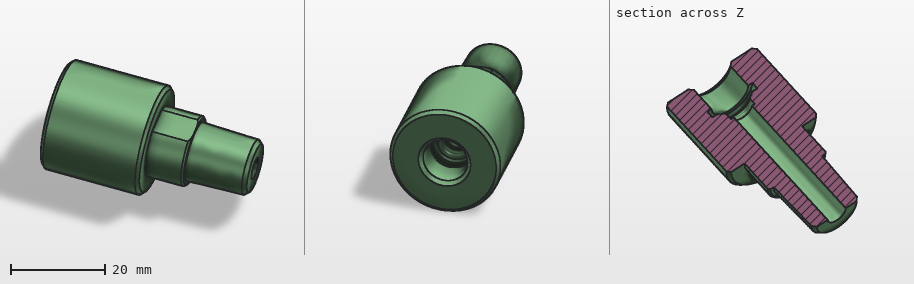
import cadquery as cq

total_length = 44.25
body_end = 22.2
collar_end = 30.72

body_diameter = 24.13
body_chamfer = 0.76

collar_diameter = 15.55
collar_chamfer = 0.46
across_flats = 14.29

spigot_base_diameter = 13.03
spigot_taper = 1 / 16
spigot_chamfer_length = 0.92
spigot_chamfer_depth = 0.8

socket_diameter = 9.73
mouth_chamfer = 0.85
groove_diameter = 11.94
groove_start = 7.05
groove_end = 8.7
seat_diameter = 9.2
seat_cone_depth = 0.54
rounded_edge_radius = 0.93
pocket_diameter = 6.26
pocket_end = 11.5
through_diameter = 4.76


def make_outside():
    """Body, collar and tapered spigot as one turned shape."""
    body_radius = body_diameter / 2
    collar_radius = collar_diameter / 2
    spigot_base_radius = spigot_base_diameter / 2
    spigot_taper_end = total_length - spigot_chamfer_length
    spigot_tip_radius = spigot_base_radius - spigot_taper * (spigot_taper_end - collar_end) / 2
    return (
        cq.Workplane("XY")
        .lineTo(0, body_radius - body_chamfer)
        .lineTo(body_chamfer, body_radius)
        .lineTo(body_end - body_chamfer, body_radius)
        .lineTo(body_end, body_radius - body_chamfer)
        .lineTo(body_end, collar_radius)
        .lineTo(collar_end - collar_chamfer, collar_radius)
        .lineTo(collar_end, collar_radius - collar_chamfer)
        .lineTo(collar_end, spigot_base_radius)
        .lineTo(spigot_taper_end, spigot_tip_radius)
        .lineTo(total_length, spigot_tip_radius - spigot_chamfer_depth)
        .lineTo(total_length, 0)
        .close()
        .revolve(360, (0, 0, 0), (1, 0, 0))
    )


def make_flat_cutter(side):
    """Block that trims one wrench flat; side is +1 for +Z and -1 for -Z."""
    collar_length = collar_end - body_end
    flat_depth = (collar_diameter - across_flats) / 2
    centre_x = (body_end + collar_end) / 2
    centre_z = side * (across_flats + flat_depth) / 2
    return (
        cq.Workplane("XY")
        .box(collar_length, collar_diameter, flat_depth)
        .translate((centre_x, 0, centre_z))
    )


def make_bore():
    """Chamfered socket, groove, seat, rounded pocket and through hole."""
    socket_radius = socket_diameter / 2
    groove_radius = groove_diameter / 2
    seat_radius = seat_diameter / 2
    pocket_radius = pocket_diameter / 2
    through_radius = through_diameter / 2
    seat_cone_end = groove_end + seat_cone_depth
    return (
        cq.Workplane("XY")
        .lineTo(0, socket_radius + mouth_chamfer)
        .lineTo(mouth_chamfer, socket_radius)
        .lineTo(groove_start, socket_radius)
        .lineTo(groove_start, groove_radius)
        .lineTo(groove_end, groove_radius)
        .lineTo(groove_end, seat_radius)
        .lineTo(seat_cone_end, pocket_radius + rounded_edge_radius)
        .radiusArc((seat_cone_end + rounded_edge_radius, pocket_radius), -rounded_edge_radius)
        .lineTo(pocket_end, pocket_radius)
        .lineTo(pocket_end, through_radius)
        .lineTo(total_length, through_radius)
        .lineTo(total_length, 0)
        .close()
        .revolve(360, (0, 0, 0), (1, 0, 0))
    )


result = make_outside()
for side in (1, -1):
    result = result.cut(make_flat_cutter(side))
result = result.cut(make_bore())